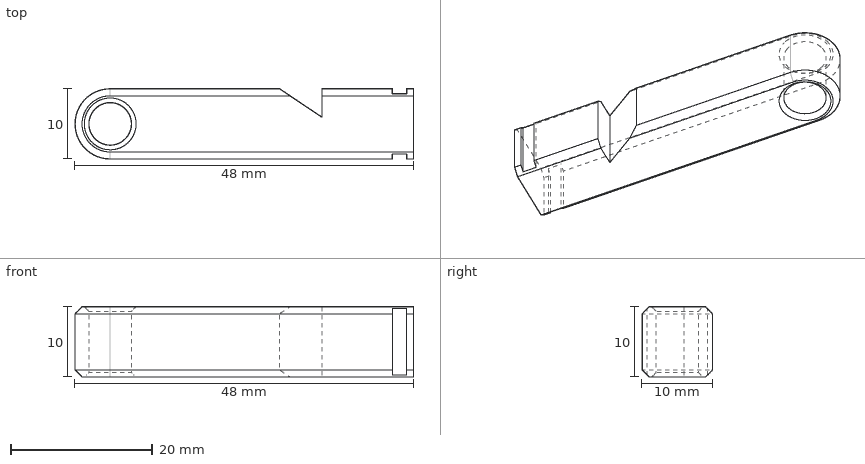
import cadquery as cq

length = 48.0
width = 10.0
height = 10.0
edge_chamfer = 1.0

hole_diameter = 6.0
hole_chamfer = 0.65

notch_wall_from_nose = 35.0
notch_length = 6.0
notch_depth = 4.05

groove_width = 2.0
groove_depth = 0.7
lip_length = 1.0

nose_radius = width / 2
side_y = width / 2
end_x = length - nose_radius
notch_wall_x = notch_wall_from_nose - nose_radius
groove_x = end_x - lip_length - groove_width / 2


def make_body():
    """Bar with a round nose and a square end, chamfered along its long edges."""
    body = (
        cq.Workplane("XY")
        .moveTo(0, side_y)
        .threePointArc((-nose_radius, 0), (0, -side_y))
        .lineTo(end_x, -side_y)
        .lineTo(end_x, side_y)
        .close()
        .extrude(height)
    )
    long_edges = body.faces("<Z or >Z").edges("not |Y")
    return long_edges.chamfer(edge_chamfer)


def make_hole():
    """Through hole in the nose, countersunk at the top and bottom faces."""
    bore = cq.Workplane("XY").circle(hole_diameter / 2).extrude(height)
    mouth_radius = hole_diameter / 2 + hole_chamfer
    for face_z, inward in ((0, 1), (height, -1)):
        cone = cq.Solid.makeCone(
            mouth_radius, 0, mouth_radius, pnt=(0, 0, face_z), dir=(0, 0, inward)
        )
        bore = bore.union(cone)
    return bore


def make_notch():
    """Full-height notch in the +Y side: a sloping wall meeting a square wall."""
    return (
        cq.Workplane("XY")
        .moveTo(notch_wall_x - notch_length, side_y)
        .lineTo(notch_wall_x, side_y - notch_depth)
        .lineTo(notch_wall_x, side_y)
        .close()
        .extrude(height)
    )


def make_side_groove(side):
    """Vertical groove across one side face (side is +1 or -1)."""
    centre_y = side * (side_y - groove_depth / 2)
    return (
        cq.Workplane("XY")
        .center(groove_x, centre_y)
        .rect(groove_width, groove_depth)
        .extrude(height)
    )


result = make_body().cut(make_hole()).cut(make_notch())
for side in (1, -1):
    result = result.cut(make_side_groove(side))